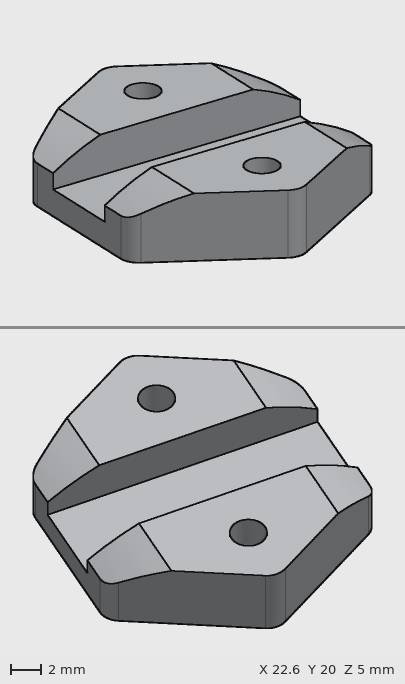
import cadquery as cq
import math

across_flats = 20.0
height = 5.0
corner_radius = 1.5
across_corners = across_flats * 2 / math.sqrt(3)

crown_radius = 19
crown_flat_width = 12.35

channel_width = 6.06
channel_depth = 3.0
hole_diameter = 2.5
hole_spacing = 14.0


def hexagonal_block():
    return (
        cq.Workplane("XY")
        .polygon(6, across_corners)
        .extrude(height)
        .edges("|Z")
        .fillet(corner_radius)
    )


def crown():
    axis_drop = math.sqrt(crown_radius**2 - (crown_flat_width / 2) ** 2)
    return (
        cq.Workplane("YZ")
        .center(0, height - axis_drop)
        .circle(crown_radius)
        .extrude(across_corners / 2, both=True)
    )


def channel():
    floor = height - channel_depth
    return (
        cq.Workplane("XY", origin=(0, 0, floor))
        .rect(channel_width, across_flats)
        .extrude(channel_depth)
    )


def mounting_holes():
    return (
        cq.Workplane("XY")
        .pushPoints([(side * hole_spacing / 2, 0) for side in (-1, 1)])
        .circle(hole_diameter / 2)
        .extrude(height)
    )


result = hexagonal_block().intersect(crown()).cut(channel()).cut(mounting_holes())